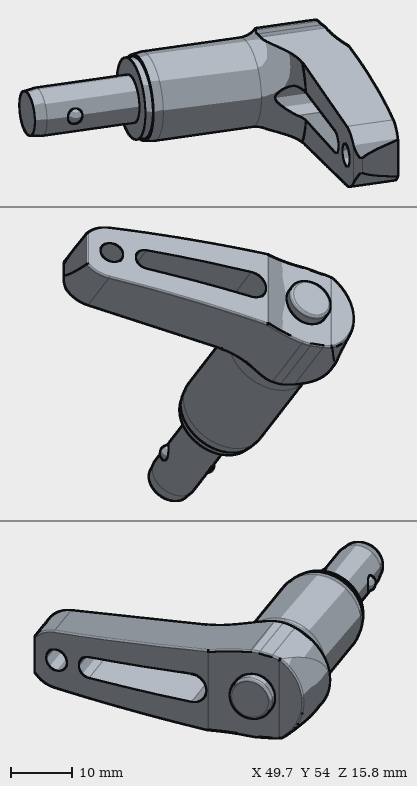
import math

import cadquery as cq


PIN_RADIUS = 4.0
PIN_LENGTH = 18.1
PIN_TIP_RADIUS = 3.7
PIN_TIP_TAPER_LENGTH = 2.0
BALL_RADIUS = 1.4
BALL_OFFSET = 3.42
BALL_Y = -11.2

COLLAR_RADIUS = 6.8
COLLAR_LENGTH = 1.3
BARREL_RADIUS = 7.4
BARREL_NOSE_RADIUS = 7.15
BARREL_TAPER_TOP_Y = 2.9
BARREL_TOP_Y = 20.0

HUB_RADIUS = 7.91
HEEL_RADIUS = 7.65
HEEL_END_X = -9.9
HEEL_X = HEEL_END_X + HEEL_RADIUS
TIP_RADIUS = 5.25
TIP_END_X = 39.93
TIP_X = TIP_END_X - TIP_RADIUS

FLARE_RADIUS = 5.65
FLARE_OVERLAP = 1.0
UNDERSIDE_SLOPE = math.radians(2.7)
HEEL_TOP_Y = 34.17
DIP_START_X = -4.45
DIP_BOTTOM = (-0.2, 33.9)
RIDGE = (7.5, 35.2)
CROWN_MIDDLE = (22.5, 34.37)
TIP_TOP = (38.8, 32.25)
TIP_CORNER_RADIUS = 1.0
TOP_EDGE_RADIUS = 0.3

HEEL_CONE_TOP_RADIUS = 8.62
HEEL_CONE_LOW_Y = 24.8

SLOT_WIDE_RADIUS = 2.55
SLOT_WIDE_X = 10.4
SLOT_NARROW_RADIUS = 1.9
SLOT_NARROW_X = 28.7
HOLE_RADIUS = 1.9
BUTTON_RADIUS = 3.7
OVERALL_LENGTH = 54.0
BUTTON_TOP_Y = OVERALL_LENGTH - PIN_LENGTH
BUTTON_EDGE_RADIUS = 0.5

MARGIN = 5.0

FLARE_CENTER_X = BARREL_RADIUS + FLARE_RADIUS
FLARE_END_X = FLARE_CENTER_X + FLARE_RADIUS * math.sin(UNDERSIDE_SLOPE)
FLARE_END_Y = BARREL_TOP_Y + FLARE_RADIUS * math.cos(UNDERSIDE_SLOPE)


def underside_y(x):
    """Height of the sloping lever underside at a given X."""
    return FLARE_END_Y - (x - FLARE_END_X) * math.tan(UNDERSIDE_SLOPE)


def revolve_about_pin_axis(profile):
    """Revolve a closed XY profile a full turn about the Y axis."""
    return profile.close().revolve(360, (0, 0, 0), (0, 1, 0))


def extrude_along_y(sketch, y_low, y_high):
    """Turn an XZ outline, drawn on the XZ plane, into a prism between two heights."""
    return sketch.extrude(-(y_high - y_low)).translate((0, y_low, 0))


def tangent_points(x_a, radius_a, x_b, radius_b):
    """Upper points where a common tangent touches two circles centred on the X axis."""
    sine = (radius_a - radius_b) / (x_b - x_a)
    cosine = math.sqrt(1 - sine**2)
    point_a = (x_a + radius_a * sine, radius_a * cosine)
    point_b = (x_b + radius_b * sine, radius_b * cosine)
    return point_a, point_b


def mirrored(point):
    return (point[0], -point[1])


def make_shank():
    profile = (
        cq.Workplane("XY")
        .moveTo(0, -PIN_LENGTH)
        .lineTo(PIN_TIP_RADIUS, -PIN_LENGTH)
        .lineTo(PIN_RADIUS, PIN_TIP_TAPER_LENGTH - PIN_LENGTH)
        .lineTo(PIN_RADIUS, 0)
        .lineTo(COLLAR_RADIUS, 0)
        .lineTo(COLLAR_RADIUS, COLLAR_LENGTH)
        .lineTo(BARREL_NOSE_RADIUS, COLLAR_LENGTH)
        .lineTo(BARREL_RADIUS, BARREL_TAPER_TOP_Y)
        .lineTo(BARREL_RADIUS, BARREL_TOP_Y)
        .lineTo(0, BARREL_TOP_Y)
    )
    return revolve_about_pin_axis(profile)


def make_balls():
    ball = cq.Workplane("XY").sphere(BALL_RADIUS)
    balls = ball.translate((BALL_OFFSET, BALL_Y, 0))
    return balls.union(ball.translate((-BALL_OFFSET, BALL_Y, 0)))


def make_plan_prism():
    heel_tangent, hub_heel_tangent = tangent_points(HEEL_X, HEEL_RADIUS, 0, HUB_RADIUS)
    hub_tip_tangent, tip_tangent = tangent_points(0, HUB_RADIUS, TIP_X, TIP_RADIUS)
    outline = (
        cq.Workplane("XZ")
        .moveTo(*mirrored(heel_tangent))
        .threePointArc((HEEL_END_X, 0), heel_tangent)
        .lineTo(*hub_heel_tangent)
        .threePointArc((0, HUB_RADIUS), hub_tip_tangent)
        .lineTo(*tip_tangent)
        .threePointArc((TIP_END_X, 0), mirrored(tip_tangent))
        .lineTo(*mirrored(hub_tip_tangent))
        .threePointArc((0, -HUB_RADIUS), mirrored(hub_heel_tangent))
        .close()
    )
    return extrude_along_y(outline, BARREL_TOP_Y, RIDGE[1] + MARGIN)


def make_side_prism():
    heel_x = HEEL_END_X - MARGIN
    side = (
        cq.Workplane("XY")
        .moveTo(heel_x, underside_y(heel_x))
        .lineTo(heel_x, HEEL_TOP_Y)
        .lineTo(DIP_START_X, HEEL_TOP_Y)
        .threePointArc(DIP_BOTTOM, RIDGE)
        .threePointArc(CROWN_MIDDLE, TIP_TOP)
        .lineTo(TIP_END_X, underside_y(TIP_END_X))
        .close()
        .extrude(HUB_RADIUS + MARGIN, both=True)
    )
    tip_corner = cq.selectors.NearestToPointSelector((TIP_END_X, underside_y(TIP_END_X), 0))
    return side.edges("|Z").edges(tip_corner).fillet(TIP_CORNER_RADIUS)


def make_heel_relief():
    """Material outside a cone about the pin axis, on the heel side only."""
    slope = (HEEL_CONE_TOP_RADIUS + HEEL_END_X) / (HEEL_TOP_Y - HEEL_CONE_LOW_Y)
    low_y = HEEL_CONE_LOW_Y - MARGIN
    high_y = HEEL_TOP_Y + MARGIN
    low_radius = -HEEL_END_X + slope * (low_y - HEEL_CONE_LOW_Y)
    high_radius = -HEEL_END_X + slope * (high_y - HEEL_CONE_LOW_Y)
    cone = revolve_about_pin_axis(
        cq.Workplane("XY")
        .moveTo(0, low_y)
        .lineTo(low_radius, low_y)
        .lineTo(high_radius, high_y)
        .lineTo(0, high_y)
    )
    width = low_radius + MARGIN
    block = cq.Workplane("XY").box(width, high_y - low_y, 2 * width, centered=(False, False, True))
    return block.translate((-width, low_y, 0)).cut(cone)


def make_flare():
    """Concave transition from the barrel to the lever underside."""
    diagonal = FLARE_RADIUS * math.sqrt(0.5)
    middle = (FLARE_CENTER_X - diagonal, BARREL_TOP_Y + diagonal)
    top_y = underside_y(HEEL_END_X) + FLARE_OVERLAP
    profile = (
        cq.Workplane("XY")
        .moveTo(0, BARREL_TOP_Y)
        .lineTo(BARREL_RADIUS, BARREL_TOP_Y)
        .threePointArc(middle, (FLARE_END_X, FLARE_END_Y))
        .lineTo(FLARE_END_X, top_y)
        .lineTo(0, top_y)
    )
    return revolve_about_pin_axis(profile)


def make_openings():
    """Tapered slot and round hole through the lever."""
    wide, narrow = tangent_points(SLOT_WIDE_X, SLOT_WIDE_RADIUS, SLOT_NARROW_X, SLOT_NARROW_RADIUS)
    slot = (
        cq.Workplane("XZ")
        .moveTo(*mirrored(wide))
        .threePointArc((SLOT_WIDE_X - SLOT_WIDE_RADIUS, 0), wide)
        .lineTo(*narrow)
        .threePointArc((SLOT_NARROW_X + SLOT_NARROW_RADIUS, 0), mirrored(narrow))
        .close()
    )
    hole = cq.Workplane("XZ").center(TIP_X, 0).circle(HOLE_RADIUS)
    top_y = RIDGE[1] + MARGIN
    return extrude_along_y(slot, BARREL_TOP_Y, top_y).union(extrude_along_y(hole, BARREL_TOP_Y, top_y))


def make_handle():
    """Lever and flare trimmed to the plan outline, with the top rim rounded."""
    blank = make_side_prism().union(make_flare())
    handle = make_plan_prism().intersect(blank).cut(make_heel_relief())
    rim_zone = cq.selectors.BoxSelector(
        (HEEL_END_X, TIP_TOP[1] - TOP_EDGE_RADIUS, -HUB_RADIUS),
        (TIP_END_X, RIDGE[1] + TOP_EDGE_RADIUS, HUB_RADIUS),
    )
    rounded = handle.edges(rim_zone).fillet(TOP_EDGE_RADIUS)
    return rounded.cut(make_openings())


def make_button():
    button = extrude_along_y(cq.Workplane("XZ").circle(BUTTON_RADIUS), BARREL_TOP_Y, BUTTON_TOP_Y)
    return button.faces(">Y").edges().fillet(BUTTON_EDGE_RADIUS)


result = make_shank().union(make_handle()).union(make_balls()).union(make_button()).clean()